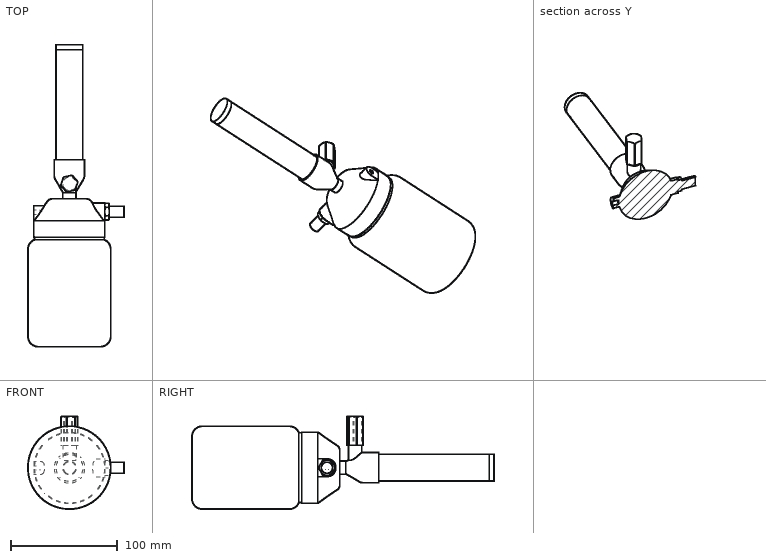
import cadquery as cq
import math


overall_length = 283.8
overall_width = 90.5
overall_height = 87.5

bottle_diameter = 78.0
bottle_radius = bottle_diameter / 2
bottle_edge_radius = 10.0
shoulder_start = 91.5
neck_radius = 33.0

lid_radius = 33.5
lid_bottom = 103.0
lid_cone_start = 118.5
lid_top = 139.0
lid_top_radius = 19.0
lid_edge_radius = 6.0

collar_diameter = 12.8
collar_end = 144.5
valve_neck_diameter = 11.5

housing_diameter = 28.7
housing_radius = housing_diameter / 2
housing_cone_end = 159.0
housing_edge_radius = 7.5
housing_end = 175.7
tube_diameter = 25.3
cap_length = 4.8
cap_facets = 24

valve_y = 153.3
stem_diameter = 12.8
knob_bottom = 21.0
knob_top = overall_height - bottle_radius
knob_sides = 6
knob_corner_radius = 8.2
knob_edge_bevel = 0.5
knob_facet_direction = 222
knob_top_rounding = 2.0

outlet_y = 127.0
lug_y = 126.5
port_face = lid_radius
lug_width = 12.2
lug_hole_diameter = 4.0
lug_hole_depth = 5.7
boss_width = 16.7
nut_sides = 6
nut_corner_radius = 8.0
nut_length = 4.0
nut_chamfer = 0.7
pipe_diameter = 10.5
pipe_end = overall_width - bottle_radius


def make_bottle_and_lid():
    """Revolve the bottle, its necked shoulder and the conical lid about Y."""
    arc_centre_radius = bottle_radius - bottle_edge_radius
    arc_mid = bottle_edge_radius * math.sqrt(0.5)
    neck_offset = neck_radius - arc_centre_radius
    neck_rise = math.sqrt(bottle_edge_radius**2 - neck_offset**2)
    half_angle = math.atan2(neck_rise, neck_offset) / 2
    shoulder_mid = (
        arc_centre_radius + bottle_edge_radius * math.cos(half_angle),
        shoulder_start + bottle_edge_radius * math.sin(half_angle),
    )
    return (
        cq.Workplane("XY")
        .lineTo(arc_centre_radius, 0)
        .threePointArc(
            (arc_centre_radius + arc_mid, bottle_edge_radius - arc_mid),
            (bottle_radius, bottle_edge_radius),
        )
        .lineTo(bottle_radius, shoulder_start)
        .threePointArc(shoulder_mid, (neck_radius, shoulder_start + neck_rise))
        .lineTo(neck_radius, lid_bottom)
        .lineTo(lid_radius, lid_bottom)
        .lineTo(lid_radius, lid_cone_start)
        .lineTo(lid_top_radius, lid_top)
        .lineTo(0, lid_top)
        .close()
        .revolve(360, (0, 0), (0, 1))
        .faces(">Y")
        .edges()
        .fillet(lid_edge_radius)
    )


def make_valve_body_and_tube():
    """Revolve the coupling, the valve body and the filter tube about Y."""
    body = (
        cq.Workplane("XY")
        .moveTo(0, lid_top)
        .lineTo(collar_diameter / 2, lid_top)
        .lineTo(collar_diameter / 2, collar_end)
        .lineTo(valve_neck_diameter / 2, collar_end)
        .lineTo(housing_radius, housing_cone_end)
        .lineTo(housing_radius, housing_end)
        .lineTo(tube_diameter / 2, housing_end)
        .lineTo(tube_diameter / 2, overall_length - cap_length)
        .lineTo(0, overall_length - cap_length)
        .close()
        .revolve(360, (0, 0), (0, 1))
    )
    cone_edge = cq.selectors.NearestToPointSelector((0, housing_cone_end, 0))
    return body.edges("%CIRCLE").edges(cone_edge).fillet(housing_edge_radius)


def make_end_cap():
    """Faceted cap closing the far end of the tube."""
    return (
        cq.Workplane("XZ", origin=(0, overall_length, 0))
        .polygon(cap_facets, tube_diameter)
        .extrude(cap_length)
    )


def make_valve():
    """Round stem carrying a six-sided knob with a rounded top."""
    stem = cq.Workplane("XY", origin=(0, valve_y, 0)).circle(stem_diameter / 2).extrude(knob_bottom)
    knob_height = knob_top - knob_bottom
    corner_direction = knob_facet_direction + 180 / knob_sides
    knob = (
        cq.Workplane("XY")
        .polygon(knob_sides, 2 * knob_corner_radius)
        .extrude(knob_height)
        .edges("|Z")
        .chamfer(knob_edge_bevel)
        .rotate((0, 0, 0), (0, 0, 1), corner_direction)
    )
    envelope = (
        cq.Workplane("XY")
        .circle(knob_corner_radius)
        .extrude(knob_height)
        .faces(">Z")
        .edges()
        .fillet(knob_top_rounding)
    )
    return stem.union(knob.intersect(envelope).translate((0, valve_y, knob_bottom)))


def make_port_pad(width, centre_y, face_x):
    """Round-ended pad growing out of the lid cone to a flat face at face_x."""
    radius = width / 2
    return (
        cq.Workplane("YZ", origin=(0, centre_y, 0))
        .moveTo(lid_cone_start - centre_y, -radius)
        .lineTo(0, -radius)
        .threePointArc((radius, 0), (0, radius))
        .lineTo(lid_cone_start - centre_y, radius)
        .close()
        .extrude(face_x)
    )


def make_lug():
    """Pad on the -X side, with the blind hole that is cut into it."""
    hole = (
        cq.Workplane("YZ", origin=(-port_face, lug_y, 0))
        .circle(lug_hole_diameter / 2)
        .extrude(lug_hole_depth)
    )
    return make_port_pad(lug_width, lug_y, -port_face), hole


def make_outlet():
    """Pad on the +X side with a hexagonal nut and an outlet pipe."""
    face = cq.Workplane("YZ", origin=(port_face, outlet_y, 0))
    nut = face.polygon(nut_sides, 2 * nut_corner_radius).extrude(nut_length)
    nut_envelope = face.circle(nut_corner_radius).extrude(nut_length).edges().chamfer(nut_chamfer)
    pipe = face.circle(pipe_diameter / 2).extrude(pipe_end - port_face)
    return make_port_pad(boss_width, outlet_y, port_face).union(nut.intersect(nut_envelope)).union(pipe)


lug, lug_hole = make_lug()
result = (
    make_bottle_and_lid()
    .union(make_valve_body_and_tube())
    .union(make_end_cap())
    .union(make_valve())
    .union(make_outlet())
    .union(lug)
    .cut(lug_hole)
)